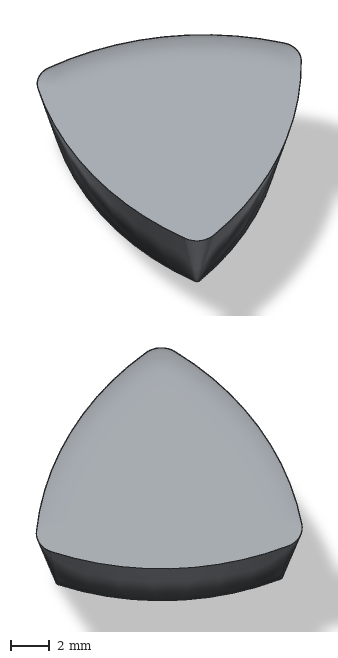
import cadquery as cq
import math

width = 13.8
length = 13.27
height = 4.76
top_corner_radius = 1.2
top_side_radius = 16.0
flank_angle = 12

flank_inset = height * math.tan(math.radians(flank_angle))

base_half_width = width / 2 - top_corner_radius
base_bow = top_side_radius - math.sqrt(
    (top_side_radius - top_corner_radius) ** 2 - base_half_width**2
)
triangle_height = length - top_corner_radius - base_bow
base_y = -triangle_height / 3
apex_y = base_y + triangle_height

corner_centres = [
    cq.Vector(-base_half_width, base_y),
    cq.Vector(base_half_width, base_y),
    cq.Vector(0, apex_y),
]


def side_arc_centre(start_corner, end_corner):
    """Centre of the side arc that bows outward between two corner roundings."""
    chord = end_corner - start_corner
    inward = cq.Vector(-chord.y, chord.x).normalized()
    distance = math.sqrt((top_side_radius - top_corner_radius) ** 2 - (chord.Length / 2) ** 2)
    return (start_corner + end_corner) * 0.5 + inward * distance


def outline(inset, z):
    """Closed wire of the rounded triangle, drawn in by inset, at height z."""
    corner_radius = top_corner_radius - inset
    side_radius = top_side_radius - inset
    level = cq.Vector(0, 0, z)
    edges = []
    for index, corner in enumerate(corner_centres):
        previous_corner = corner_centres[index - 1]
        next_corner = corner_centres[(index + 1) % len(corner_centres)]
        arriving_centre = side_arc_centre(previous_corner, corner)
        leaving_centre = side_arc_centre(corner, next_corner)

        arriving_normal = (corner - arriving_centre).normalized()
        leaving_normal = (corner - leaving_centre).normalized()
        tip_normal = (arriving_normal + leaving_normal).normalized()
        side_end_normal = (next_corner - leaving_centre).normalized()
        side_middle_normal = (leaving_normal + side_end_normal).normalized()

        corner_start = corner + arriving_normal * corner_radius + level
        corner_tip = corner + tip_normal * corner_radius + level
        corner_end = corner + leaving_normal * corner_radius + level
        side_middle = leaving_centre + side_middle_normal * side_radius + level
        side_end = next_corner + side_end_normal * corner_radius + level

        edges.append(cq.Edge.makeThreePointArc(corner_start, corner_tip, corner_end))
        edges.append(cq.Edge.makeThreePointArc(corner_end, side_middle, side_end))
    return cq.Wire.assembleEdges(edges)


def tapered_body():
    """Insert body with straight sloping flanks between the bottom and top outlines."""
    bottom = outline(flank_inset, 0)
    top = outline(0, height)
    return cq.Solid.makeLoft([bottom, top], True)


result = cq.Workplane("XY").newObject([tapered_body()])